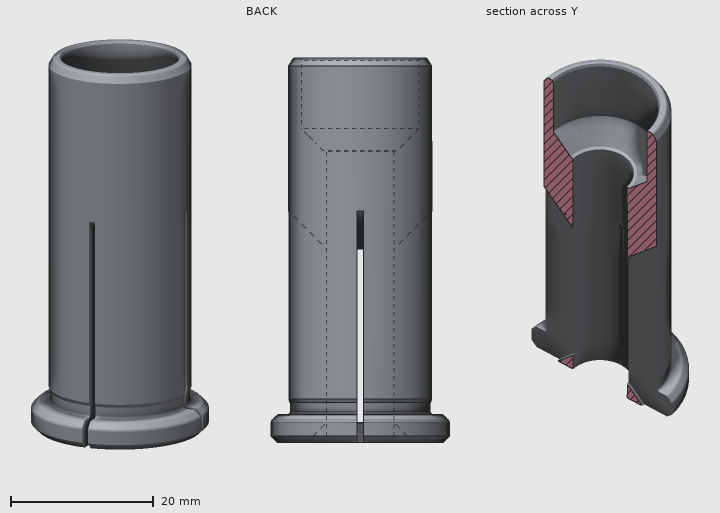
import cadquery as cq
import math

LENGTH = 54.0
BODY_RADIUS = 20.1 / 2
FLANGE_RADIUS = 25.0 / 2

FLANGE_HEIGHT = 3.95
FLANGE_CHAMFER = 0.9
FLANGE_EDGE_ROUND = 0.5

GROOVE_DEPTH = 0.2
GROOVE_TOP = 6.1
GROOVE_TAPER_HEIGHT = 0.5
GROOVE_FILLET = 0.45

MOUTH_CHAMFER_WIDTH = 0.7
MOUTH_CHAMFER_HEIGHT = 1.15
MOUTH_EDGE_ROUND = 0.5
MOUTH_INNER_CHAMFER_WIDTH = 0.2
MOUTH_INNER_CHAMFER_HEIGHT = 0.4

SOCKET_RADIUS = 16.5 / 2
SOCKET_DEPTH = 9.95
CONE_END_RADIUS = 10.5 / 2
CONE_SLOPE = math.radians(45)
BORE_RADIUS = 9.5 / 2
LEDGE_SLOPE = math.radians(18)

SLOT_WIDTH = 0.85
SLOT_COUNT = 4
SLOT_TOP = 32.5
SLOT_FLOOR_AT_BORE = 2.8
SLOT_OVERCUT = 0.55

EDGE_MATCH = 0.005


def round_circle(solid, radius, height, fillet):
    """Fillet the circular edge of the given radius and height."""
    edges = [
        edge for edge in solid.edges("%CIRCLE").vals()
        if math.isclose(edge.radius(), radius, abs_tol=EDGE_MATCH)
        and math.isclose(edge.Center().z, height, abs_tol=EDGE_MATCH)
    ]
    return solid.newObject(edges).fillet(fillet)


def make_outer_body():
    """Revolve the flanged sleeve, then round its turned edges."""
    groove_radius = BODY_RADIUS - GROOVE_DEPTH
    flange_face_radius = FLANGE_RADIUS - FLANGE_CHAMFER
    chamfer_bottom = FLANGE_HEIGHT - FLANGE_CHAMFER
    mouth_radius = BODY_RADIUS - MOUTH_CHAMFER_WIDTH
    body = (
        cq.Workplane("XZ")
        .moveTo(0, 0)
        .lineTo(flange_face_radius, 0)
        .lineTo(FLANGE_RADIUS, FLANGE_CHAMFER)
        .lineTo(FLANGE_RADIUS, chamfer_bottom)
        .lineTo(flange_face_radius, FLANGE_HEIGHT)
        .lineTo(groove_radius, FLANGE_HEIGHT)
        .lineTo(groove_radius, GROOVE_TOP - GROOVE_TAPER_HEIGHT)
        .lineTo(BODY_RADIUS, GROOVE_TOP)
        .lineTo(BODY_RADIUS, LENGTH - MOUTH_CHAMFER_HEIGHT)
        .lineTo(mouth_radius, LENGTH)
        .lineTo(0, LENGTH)
        .close()
        .revolve(360, (0, 0), (0, 1))
    )

    body = round_circle(body, groove_radius, FLANGE_HEIGHT, GROOVE_FILLET)
    body = round_circle(body, flange_face_radius, FLANGE_HEIGHT, FLANGE_EDGE_ROUND)
    body = round_circle(body, FLANGE_RADIUS, chamfer_bottom, FLANGE_EDGE_ROUND)
    return round_circle(body, mouth_radius, LENGTH, MOUTH_EDGE_ROUND)


def make_bore():
    """Wide socket, conical floor, shallow ledge and narrow through bore."""
    socket_floor = LENGTH - SOCKET_DEPTH
    cone_end = socket_floor - (SOCKET_RADIUS - CONE_END_RADIUS) * math.tan(CONE_SLOPE)
    bore_top = cone_end - (CONE_END_RADIUS - BORE_RADIUS) * math.tan(LEDGE_SLOPE)
    return (
        cq.Workplane("XZ")
        .moveTo(0, 0)
        .lineTo(BORE_RADIUS, 0)
        .lineTo(BORE_RADIUS, bore_top)
        .lineTo(CONE_END_RADIUS, cone_end)
        .lineTo(SOCKET_RADIUS, socket_floor)
        .lineTo(SOCKET_RADIUS, LENGTH - MOUTH_INNER_CHAMFER_HEIGHT)
        .lineTo(SOCKET_RADIUS + MOUTH_INNER_CHAMFER_WIDTH, LENGTH)
        .lineTo(0, LENGTH)
        .close()
        .revolve(360, (0, 0), (0, 1))
    )


def make_slot():
    """Radial slot along +X; its floor rises and its top falls towards the bore."""
    floor_end_radius = BORE_RADIUS + SLOT_FLOOR_AT_BORE
    outer_reach = FLANGE_RADIUS + SLOT_OVERCUT
    top_at_axis = SLOT_TOP - BODY_RADIUS
    return (
        cq.Workplane("XZ")
        .moveTo(0, floor_end_radius)
        .lineTo(floor_end_radius, 0)
        .lineTo(outer_reach, 0)
        .lineTo(outer_reach, top_at_axis + outer_reach)
        .lineTo(0, top_at_axis)
        .close()
        .extrude(SLOT_WIDTH / 2, both=True)
    )


result = make_outer_body().cut(make_bore())
slot = make_slot()
for index in range(SLOT_COUNT):
    result = result.cut(slot.rotate((0, 0, 0), (0, 0, 1), index * 360 / SLOT_COUNT))